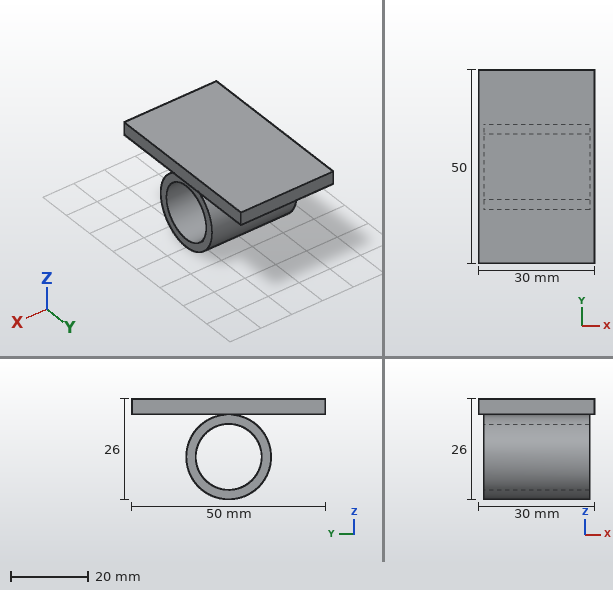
import cadquery as cq

plate_width = 30.0
plate_length = 50.0
plate_thickness = 4.0

tube_outer_diameter = 22.0
tube_bore_diameter = 17.0
tube_length = 27.5


def make_plate():
    """Plate centred on the origin in X and Y, with its underside at Z = 0."""
    return cq.Workplane("XY").box(
        plate_width, plate_length, plate_thickness, centered=(True, True, False)
    )


def make_tube():
    """Open tube centred in X and Y, with the top of its wall at Z = 0."""
    return (
        cq.Workplane("YZ", origin=(-tube_length / 2, 0, -tube_outer_diameter / 2))
        .circle(tube_outer_diameter / 2)
        .circle(tube_bore_diameter / 2)
        .extrude(tube_length)
    )


plate = make_plate()
tube = make_tube()

result = cq.Compound.makeCompound([plate.val(), tube.val()])